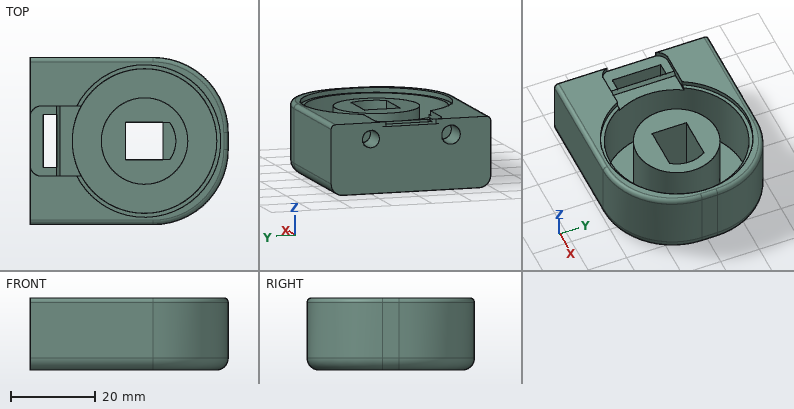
import cadquery as cq

length = 47.1
width = 39.8
height = 17.2
corner_radius = 17.9
top_edge_radius = 1.1
bottom_edge_radius = 2.9

chamber_x = 27.2
chamber_diameter = 34.4
rim_diameter = 36.27
rim_depth = 1.15
floor_thickness = 0.85
boss_diameter = 20.6
seat_z = height - rim_depth

bore_size = 8.85
bore_start_x = 22.7
side_pocket_radius = 7.45
side_pocket_depth = 4.48

recess_width = 16.72
recess_start_x = -0.1
recess_corner_radius = 2.85
slot_start_x = 3.1
slot_length = 3.15
slot_width = 12.55

ramp_length = 0.85
ramp_drop = 0.7
lower_floor_end_x = 14.15

face_holes = [(10.0, 4.2), (-10.0, 4.6)]
face_hole_z = 13.25
face_hole_depth = 7.05


def block(start_x, end_x, size_y, start_z, end_z):
    """Box centred on Y = 0 between the given X and Z limits."""
    return (
        cq.Workplane("XY")
        .box(end_x - start_x, size_y, end_z - start_z, centered=(False, True, False))
        .translate((start_x, 0, start_z))
    )


def disc(diameter, start_z, end_z):
    """Cylinder on the chamber axis."""
    return (
        cq.Workplane("XY", origin=(chamber_x, 0, start_z))
        .circle(diameter / 2)
        .extrude(end_z - start_z)
    )


def make_body():
    body = block(0, length, width, 0, height)
    body = body.edges("|Z and >X").fillet(corner_radius)
    body = body.faces(">Z").edges("not <X").fillet(top_edge_radius)
    return body.faces("<Z").edges("not <X").fillet(bottom_edge_radius)


def make_chamber():
    rim = disc(rim_diameter, seat_z, height)
    ring = disc(chamber_diameter, floor_thickness, seat_z)
    return rim.union(ring.cut(disc(boss_diameter, floor_thickness, seat_z)))


def make_bore():
    square = block(bore_start_x, bore_start_x + bore_size, bore_size, 0, seat_z)
    pocket_floor_z = seat_z - side_pocket_depth
    pocket = disc(2 * side_pocket_radius, pocket_floor_z, seat_z).intersect(
        block(bore_start_x, length, bore_size, pocket_floor_z, seat_z)
    )
    return square.union(pocket)


def make_recess():
    recess = block(recess_start_x, chamber_x, recess_width, seat_z, height)
    recess = recess.edges("|Z and <X").fillet(recess_corner_radius)
    slot_end_x = slot_start_x + slot_length
    slot = block(slot_start_x, slot_end_x, slot_width, 0, seat_z)
    return recess.union(slot)


def make_lower_floor():
    ramp_start_x = slot_start_x + slot_length
    lower_floor_z = seat_z - ramp_drop
    return (
        cq.Workplane("XZ")
        .moveTo(ramp_start_x, seat_z)
        .lineTo(ramp_start_x + ramp_length, lower_floor_z)
        .lineTo(lower_floor_end_x, lower_floor_z)
        .lineTo(lower_floor_end_x, seat_z)
        .close()
        .extrude(recess_width / 2, both=True)
    )


def make_face_hole(y, diameter):
    return (
        cq.Workplane("YZ")
        .center(y, face_hole_z)
        .circle(diameter / 2)
        .extrude(face_hole_depth)
    )


result = make_body().cut(make_chamber()).cut(make_bore()).cut(make_recess()).cut(make_lower_floor())
for hole_y, hole_diameter in face_holes:
    result = result.cut(make_face_hole(hole_y, hole_diameter))